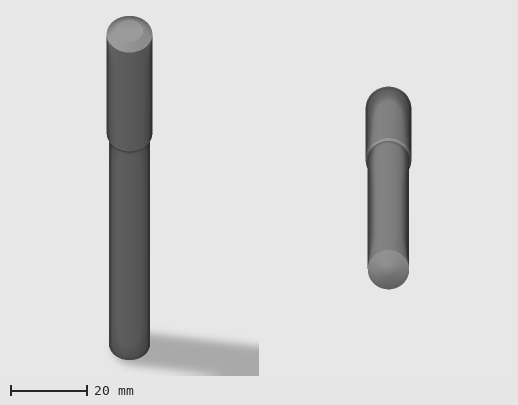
import cadquery as cq
import math

total_length = 140.0
shank_diameter = 12.0
cutter_diameter = 10.9
point_angle = 140.0

neck_bottom = 78.3
shank_bottom = 94.0

top_face_diameter = 7.1
top_chamfer_height = 1.4
lower_chamfer_height = 1.0
lower_face_diameter = 11.2

shank_radius = shank_diameter / 2
cutter_radius = cutter_diameter / 2
point_height = cutter_radius / math.tan(math.radians(point_angle / 2))


def revolve_profile(points):
    """Revolve a closed (radius, height) outline about the Z axis."""
    return cq.Workplane("XZ").polyline(points).close().revolve(360, (0, 0, 0), (0, 1, 0))


def make_cutter():
    """Straight cylindrical cutter with a conical point."""
    return revolve_profile([
        (0, 0),
        (cutter_radius, point_height),
        (cutter_radius, neck_bottom),
        (0, neck_bottom),
    ])


def make_holder():
    """Neck as wide as the cutter, below a thicker shank chamfered at both ends."""
    return revolve_profile([
        (0, neck_bottom),
        (cutter_radius, neck_bottom),
        (cutter_radius, shank_bottom),
        (lower_face_diameter / 2, shank_bottom),
        (shank_radius, shank_bottom + lower_chamfer_height),
        (shank_radius, total_length - top_chamfer_height),
        (top_face_diameter / 2, total_length),
        (0, total_length),
    ])


cutter = make_cutter()
holder = make_holder()

result = cq.Compound.makeCompound([cutter.val(), holder.val()])